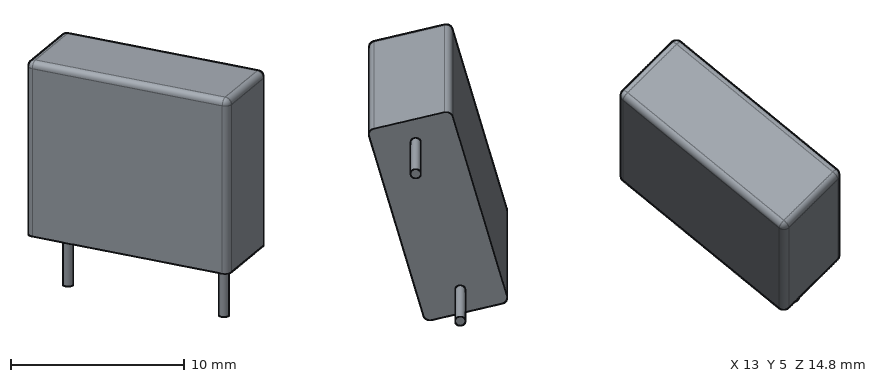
import cadquery as cq

total_height = 14.8
case_length = 13.0
case_width = 5.0
edge_radius = 0.4

lead_length = 3.8
lead_diameter = 0.6
lead_pitch = 10.0

case_height = total_height - lead_length


def make_case():
    """Rectangular case standing on Z = 0, with only its bottom edges left sharp."""
    block = cq.Workplane("XY").box(
        case_length, case_width, case_height, centered=(True, True, False)
    )
    return block.edges("|Z or >Z").fillet(edge_radius)


def make_lead(x):
    """Round straight lead hanging from the underside of the case."""
    return cq.Workplane("XY").center(x, 0).circle(lead_diameter / 2).extrude(-lead_length)


case = make_case()
leads = [make_lead(side * lead_pitch / 2) for side in (-1, 1)]

result = cq.Compound.makeCompound([case.val(), *[lead.val() for lead in leads]])